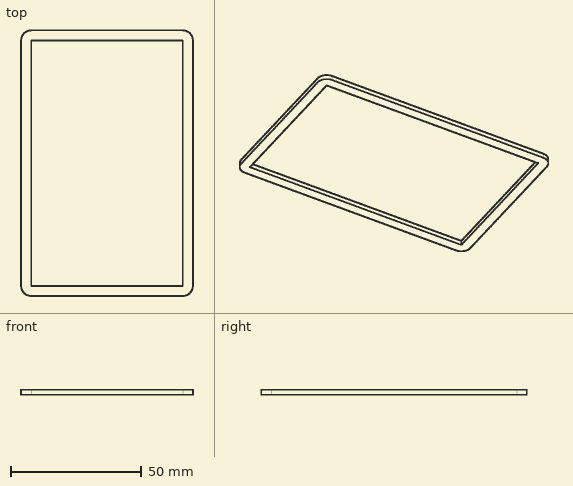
import cadquery as cq

length = 102.0
width = 66.0
thickness = 2.0
rim = 4.0
corner_radius = rim

outer_plate = (
    cq.Workplane("XY")
    .box(width, length, thickness)
    .edges("|Z")
    .fillet(corner_radius)
)

window = cq.Workplane("XY").box(width - 2 * rim, length - 2 * rim, thickness)

result = outer_plate.cut(window)